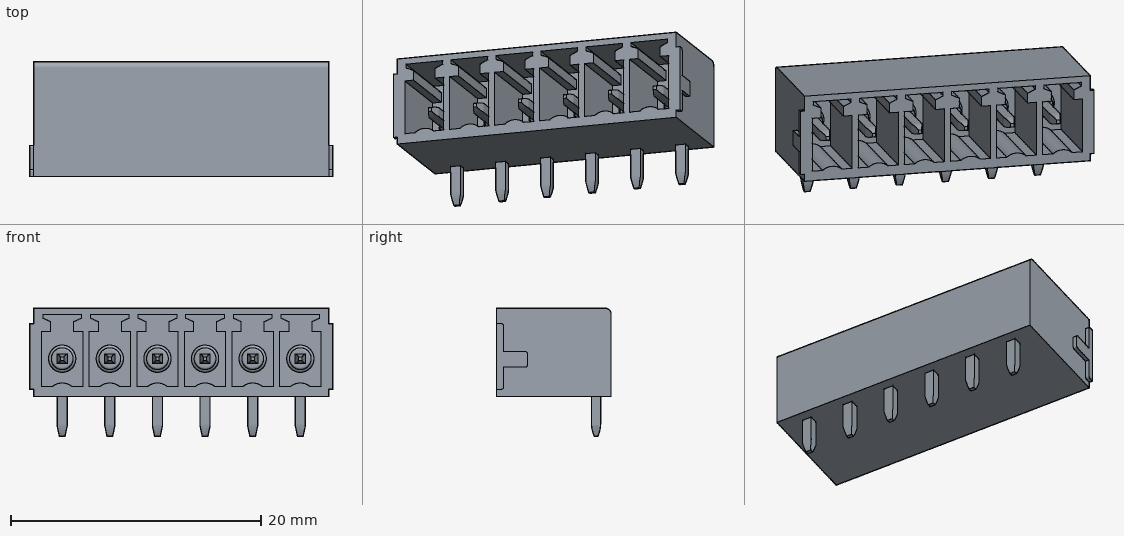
import cadquery as cq


contact_count = 6
pitch = 3.8
contact_height = 3.03
contact_positions = [(i - (contact_count - 1) / 2) * pitch for i in range(contact_count)]

overall_width = 24.25
rib_projection = 0.32
housing_width = overall_width - 2 * rib_projection
housing_depth = 9.2
housing_height = 7.08
back_edge_radius = 0.48

rib_bottom = 0.58
rib_top = 5.85
rib_depth = 0.58
rib_stem_depth = 2.5
rib_stem_bottom = 2.35
rib_stem_top = 3.61
rib_corner_radius = 0.2

cavity_depth = 6.8
cavity_half_width = 1.65
cavity_floor = 0.8
cavity_shoulder = 5.2
neck_half_width = 0.92
neck_top = 6.0
keyway_half_width = 1.55
keyway_side_bottom = 6.28
keyway_top = 6.57
floor_bump_half_width = 0.8
floor_bump_height = 0.3

boss_radius = 0.87
boss_height = 0.6
boss_root_radius = 0.22
boss_edge_radius = 0.17

pin_width = 0.82
pin_thickness = 0.75
mating_tip_start = 1.38
mating_tip_width = 0.27
mating_tip_thickness = 0.3
mating_taper_length = 0.97
mating_curve_length = 1.1
leg_center = 7.98
leg_length = 3.18
leg_tip_width = 0.45
leg_tip_thickness = 0.3
leg_taper_length = 0.85
leg_curve_length = 1.05
pin_back = leg_center + pin_thickness / 2
pin_top = contact_height + pin_thickness / 2


def tapered_bar(length, tip_width, tip_thickness, taper_length, curve_length):
    """Bar standing on its tip at Z = 0: straight tapers across X, rounded tapers across Y."""
    across_x = (
        cq.Workplane("XZ")
        .moveTo(-tip_width / 2, 0)
        .lineTo(tip_width / 2, 0)
        .lineTo(pin_width / 2, taper_length)
        .lineTo(pin_width / 2, length)
        .lineTo(-pin_width / 2, length)
        .lineTo(-pin_width / 2, taper_length)
        .close()
        .extrude(pin_thickness / 2, both=True)
    )
    rounded_half = (
        cq.Workplane("YZ")
        .moveTo(0, length)
        .lineTo(pin_thickness / 2, length)
        .lineTo(pin_thickness / 2, curve_length)
        .tangentArcPoint((tip_thickness / 2, 0), relative=False)
        .lineTo(0, 0)
        .close()
        .extrude(pin_width / 2, both=True)
    )
    across_y = rounded_half.union(rounded_half.mirror("XZ"))
    return across_x.intersect(across_y)


def make_pin(x):
    """L-shaped contact: a horizontal mating bar and a vertical solder leg."""
    mating_bar = tapered_bar(
        pin_back - mating_tip_start,
        mating_tip_width,
        mating_tip_thickness,
        mating_taper_length,
        mating_curve_length,
    )
    leg = tapered_bar(
        leg_length + pin_top,
        leg_tip_width,
        leg_tip_thickness,
        leg_taper_length,
        leg_curve_length,
    )
    mating_bar = mating_bar.rotate((0, 0, 0), (1, 0, 0), -90).translate((x, mating_tip_start, contact_height))
    leg = leg.translate((x, leg_center, -leg_length))
    return mating_bar.union(leg)


def make_block():
    """Plain housing block with its upper back edge rounded."""
    return (
        cq.Workplane("XY")
        .box(housing_width, housing_depth, housing_height, centered=(True, False, False))
        .edges(">Y and >Z")
        .fillet(back_edge_radius)
    )


def make_ribs():
    """T-shaped ribs, running right across the housing so that one shows on each end."""
    flange = (
        cq.Workplane("XY")
        .box(overall_width, rib_depth, rib_top - rib_bottom, centered=(True, False, False))
        .translate((0, 0, rib_bottom))
    )
    stem = (
        cq.Workplane("XY")
        .box(overall_width, rib_stem_depth, rib_stem_top - rib_stem_bottom, centered=(True, False, False))
        .translate((0, 0, rib_stem_bottom))
    )
    return (
        flange.edges("|X and >Y")
        .fillet(rib_corner_radius)
        .union(stem.edges("|X and >Y").fillet(rib_corner_radius))
    )


def make_cavity(x):
    """Space for one plug contact: a chamber, a neck above it and a dovetail keyway on top."""
    return (
        cq.Workplane("XZ", origin=(x, 0, 0))
        .moveTo(-cavity_half_width, cavity_floor)
        .lineTo(-floor_bump_half_width, cavity_floor)
        .threePointArc(
            (0, cavity_floor + floor_bump_height),
            (floor_bump_half_width, cavity_floor),
        )
        .lineTo(cavity_half_width, cavity_floor)
        .lineTo(cavity_half_width, cavity_shoulder)
        .lineTo(neck_half_width, cavity_shoulder)
        .lineTo(neck_half_width, neck_top)
        .lineTo(keyway_half_width, keyway_side_bottom)
        .lineTo(keyway_half_width, keyway_top)
        .lineTo(-keyway_half_width, keyway_top)
        .lineTo(-keyway_half_width, keyway_side_bottom)
        .lineTo(-neck_half_width, neck_top)
        .lineTo(-neck_half_width, cavity_shoulder)
        .lineTo(-cavity_half_width, cavity_shoulder)
        .close()
        .extrude(-cavity_depth)
    )


def make_boss(x):
    """Round boss with a flared root and a rounded front edge, revolved about the contact's axis."""
    edge_height = boss_height - boss_edge_radius
    return (
        cq.Workplane("XY")
        .lineTo(boss_radius + boss_root_radius, 0)
        .radiusArc((boss_radius, -boss_root_radius), boss_root_radius)
        .lineTo(boss_radius, -edge_height)
        .radiusArc((boss_radius - boss_edge_radius, -boss_height), boss_edge_radius)
        .lineTo(0, -boss_height)
        .close()
        .revolve(360, (0, 0, 0), (0, 1, 0))
        .translate((x, cavity_depth, contact_height))
    )


def make_housing(pins):
    """Housing with one cavity and boss per contact, and a matching hole around each pin."""
    housing = make_block().union(make_ribs())
    for x, pin in zip(contact_positions, pins):
        housing = housing.cut(make_cavity(x)).union(make_boss(x)).cut(pin)
    return housing


pins = [make_pin(x) for x in contact_positions]
housing = make_housing(pins)

result = cq.Compound.makeCompound([housing.solids().val(), *[pin.solids().val() for pin in pins]])